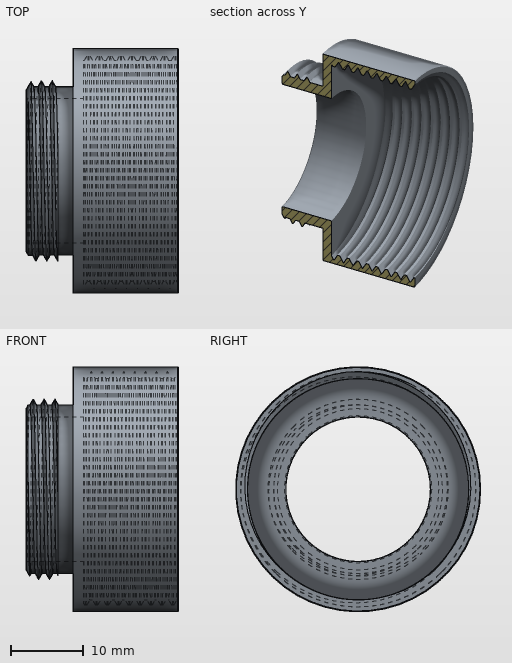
import cadquery as cq
import math

TOTAL_LENGTH = 21.0
COLLAR_DIAMETER = 33.77
COLLAR_START = 6.5
COLLAR_EDGE_CHAMFER = 0.1
BORE_DIAMETER = 19.9
BORE_CHAMFER = 0.2

PITCH = 1.5
FLANK_HALF_ANGLE = math.radians(30)
PROFILE_OVERLAP = 0.1

SPIGOT_ROOT_DIAMETER = 23.26
SPIGOT_CREST_DIAMETER = 24.85
SPIGOT_THREAD_END = 4.42
SPIGOT_CREST_AT_PLUS_Y = 0.61
SPIGOT_LEAD_FACE_DIAMETER = 22.24
SPIGOT_LEAD_ANGLE = math.radians(60)

SOCKET_FLOOR = 7.9
SOCKET_DIAMETER = 30.5
SOCKET_GROOVE_DIAMETER = 32.45
SOCKET_GROOVE_AT_PLUS_Y = 1.1


def cylinder(diameter, start, end):
    """Solid cylinder along X between two stations."""
    return cq.Workplane("YZ", origin=(start, 0, 0)).circle(diameter / 2).extrude(end - start)


def thread_ridge(base_diameter, tip_diameter, tip_at_plus_y, start, end):
    """Right-handed helical ridge of triangular section that runs past both start and end."""
    base_radius = base_diameter / 2 - PROFILE_OVERLAP
    tip_radius = tip_diameter / 2
    half_width = (tip_radius - base_radius) * math.tan(FLANK_HALF_ANGLE)
    first_turn = math.floor((start - half_width - tip_at_plus_y) / PITCH)
    last_turn = math.ceil((end + half_width - tip_at_plus_y) / PITCH)
    length = (last_turn - first_turn) * PITCH

    path = cq.Wire.makeHelix(PITCH, length, base_radius)
    profile = (
        cq.Workplane("XZ")
        .moveTo(base_radius, -half_width)
        .lineTo(tip_radius, 0)
        .lineTo(base_radius, half_width)
        .close()
    )
    ridge = profile.sweep(cq.Workplane(path), isFrenet=True)
    ridge = ridge.rotate((0, 0, 0), (1, 1, 1), 120)
    return ridge.translate((tip_at_plus_y + first_turn * PITCH, 0, 0))


def lead_cone():
    """Spigot envelope: a cone at the end face that runs out past the thread crests."""
    face_radius = SPIGOT_LEAD_FACE_DIAMETER / 2
    outer_radius = SPIGOT_CREST_DIAMETER / 2 + PROFILE_OVERLAP
    cone_length = (outer_radius - face_radius) / math.tan(SPIGOT_LEAD_ANGLE)
    outline = [
        (0, 0),
        (0, face_radius),
        (cone_length, outer_radius),
        (SPIGOT_THREAD_END, outer_radius),
        (SPIGOT_THREAD_END, 0),
    ]
    return cq.Workplane("XY").polyline(outline).close().revolve(360, (0, 0, 0), (1, 0, 0))


def threaded_spigot():
    """Male threaded end with a plain neck behind the thread."""
    ridge = thread_ridge(
        SPIGOT_ROOT_DIAMETER, SPIGOT_CREST_DIAMETER, SPIGOT_CREST_AT_PLUS_Y, 0, SPIGOT_THREAD_END
    )
    envelope = lead_cone()
    core = cylinder(SPIGOT_ROOT_DIAMETER, 0, SPIGOT_THREAD_END).intersect(envelope)
    neck = cylinder(SPIGOT_ROOT_DIAMETER, SPIGOT_THREAD_END, COLLAR_START)
    return core.union(neck).union(ridge.intersect(envelope))


def collar():
    """Plain cylindrical collar with its open-end edge broken."""
    body = cylinder(COLLAR_DIAMETER, COLLAR_START, TOTAL_LENGTH)
    return body.faces(">X").edges().chamfer(COLLAR_EDGE_CHAMFER)


def socket_groove():
    """Helical groove of the female thread, trimmed to the depth of the socket."""
    groove = thread_ridge(
        SOCKET_DIAMETER, SOCKET_GROOVE_DIAMETER, SOCKET_GROOVE_AT_PLUS_Y, SOCKET_FLOOR, TOTAL_LENGTH
    )
    return groove.intersect(cylinder(COLLAR_DIAMETER, SOCKET_FLOOR, TOTAL_LENGTH))


def bore():
    """Through bore with a small chamfer at the spigot end face."""
    mouth = cq.Workplane("YZ").circle(BORE_DIAMETER / 2 + BORE_CHAMFER)
    mouth = mouth.workplane(offset=BORE_CHAMFER).circle(BORE_DIAMETER / 2).loft(ruled=True)
    return cylinder(BORE_DIAMETER, 0, TOTAL_LENGTH).union(mouth)


socket_hole = cylinder(SOCKET_DIAMETER, SOCKET_FLOOR, TOTAL_LENGTH)
result = threaded_spigot().union(collar()).cut(bore()).cut(socket_hole).cut(socket_groove())